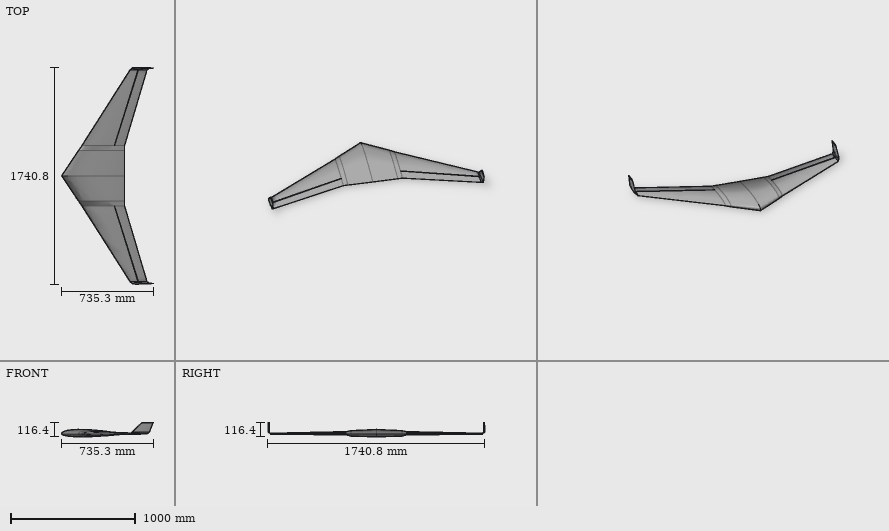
import cadquery as cq

CENTRE_TE = 506.0
ROOT_LE = 0.0
FAIRING_Y, FAIRING_LE = 204.0, 136.0
JOINT_Y, JOINT_LE = 242.0, 163.0
TIP_Y, TIP_LE, TIP_TE = 849.0, 549.0, 686.0

ROOT_TOP, ROOT_BOTTOM = 36.8, 25.27
FAIRING_TOP, FAIRING_BOTTOM = 26.0, 19.5
JOINT_TOP, JOINT_BOTTOM = 18.5, 10.0
TIP_TOP, TIP_BOTTOM = 5.0, 4.6
EDGE_THICKNESS = 2.0
EDGE_DROOP_RATIO = 0.005

SPAN = 1740.76
WINGLET_TOP_Z = 90.0
WINGLET_BASE_Z, WINGLET_BASE_LE, WINGLET_BASE_TE = 13.0, 566.0, 705.0
WINGLET_TIP_LE, WINGLET_TIP_TE = 645.0, 735.25
WINGLET_BASE_HALF = 6.5
WINGLET_TIP_HALF = 4.5

HINGE_JOINT_X, HINGE_JOINT_WIDTH = 423.0, 2.0
HINGE_TIP_X, HINGE_TIP_WIDTH = 612.0, 5.0
HINGE_DEPTH = 2.0
HINGE_CLEARANCE = 10.0

THICKNESS_TERMS = ((0.2969, 0.5), (-0.1260, 1), (-0.3516, 2), (0.2843, 3), (-0.1036, 4))
THICKNESS_PEAK = 0.1
PEAK_FRACTION = 0.3
CURVE_POINTS = 10


def half_thickness(fraction):
    """Relative half-thickness (peak 1) at a fraction of the chord."""
    return sum(factor * fraction**power for factor, power in THICKNESS_TERMS) / THICKNESS_PEAK


def skin_offset(fraction, height, edge):
    """Skin distance from the chord line, ending at the signed trailing-edge offset."""
    return height * half_thickness(fraction) + edge * fraction


def section(le, te, top, bottom, place):
    """Closed airfoil wire; place(x, offset) puts a chordwise point in space."""
    def side(height, edge):
        points = []
        for i in range(CURVE_POINTS + 1):
            fraction = (i / CURVE_POINTS) ** 2
            offset = skin_offset(fraction, height, edge)
            points.append(cq.Vector(*place(le + (te - le) * fraction, offset)))
        return points

    upper = side(top, EDGE_THICKNESS / 2)
    lower = side(-bottom, -EDGE_THICKNESS / 2)
    profile = cq.Edge.makeSpline(upper[::-1] + lower[1:])
    edge = cq.Edge.makeLine(lower[-1], upper[-1])
    return cq.Wire.assembleEdges([profile, edge])


def droop(x, le):
    """Fall of the chord line behind the leading edge."""
    return EDGE_DROOP_RATIO * (x - le)


def wing_section(y, le, te, top, bottom):
    """Airfoil in a plane of constant y."""
    def place(x, offset):
        return (x, y, offset - droop(x, le))

    return section(le, te, top, bottom, place)


def winglet_section(z, le, te, half):
    """Symmetric airfoil in a plane of constant z, its top side facing the root."""
    edge_share = PEAK_FRACTION * EDGE_THICKNESS / 2
    centre_y = SPAN / 2 - WINGLET_BASE_HALF - edge_share
    return section(le, te, half, half, lambda x, offset: (x, centre_y - offset, z))


def half_wing():
    """One ruled skin from the root through the bent tip to the top of the winglet."""
    root = wing_section(0, ROOT_LE, CENTRE_TE, ROOT_TOP, ROOT_BOTTOM)
    fairing = wing_section(FAIRING_Y, FAIRING_LE, CENTRE_TE, FAIRING_TOP, FAIRING_BOTTOM)
    joint = wing_section(JOINT_Y, JOINT_LE, CENTRE_TE, JOINT_TOP, JOINT_BOTTOM)
    tip = wing_section(TIP_Y, TIP_LE, TIP_TE, TIP_TOP, TIP_BOTTOM)
    base = winglet_section(WINGLET_BASE_Z, WINGLET_BASE_LE, WINGLET_BASE_TE, WINGLET_BASE_HALF)
    end = winglet_section(WINGLET_TOP_Z, WINGLET_TIP_LE, WINGLET_TIP_TE, WINGLET_TIP_HALF)
    sections = [root, fairing, joint, tip, base, end]
    return cq.Workplane(cq.Solid.makeLoft(sections, True))


def hinge_groove():
    """Cutter for the groove ahead of the elevon, HINGE_DEPTH deep in the upper skin at both ends."""
    def outline(y, x, width, le, te, top):
        skin_z = skin_offset((x - le) / (te - le), top, EDGE_THICKNESS / 2) - droop(x, le)
        floor_z = skin_z - HINGE_DEPTH
        roof_z = skin_z + HINGE_CLEARANCE
        corners = [(x, floor_z), (x + width, floor_z), (x + width, roof_z), (x, roof_z)]
        return cq.Wire.makePolygon([cq.Vector(cx, y, cz) for cx, cz in corners], close=True)

    inner = outline(JOINT_Y, HINGE_JOINT_X, HINGE_JOINT_WIDTH, JOINT_LE, CENTRE_TE, JOINT_TOP)
    outer = outline(TIP_Y, HINGE_TIP_X, HINGE_TIP_WIDTH, TIP_LE, TIP_TE, TIP_TOP)
    return cq.Workplane(cq.Solid.makeLoft([inner, outer], True))


wing = half_wing().cut(hinge_groove())
result = wing.union(wing.mirror("XZ"))